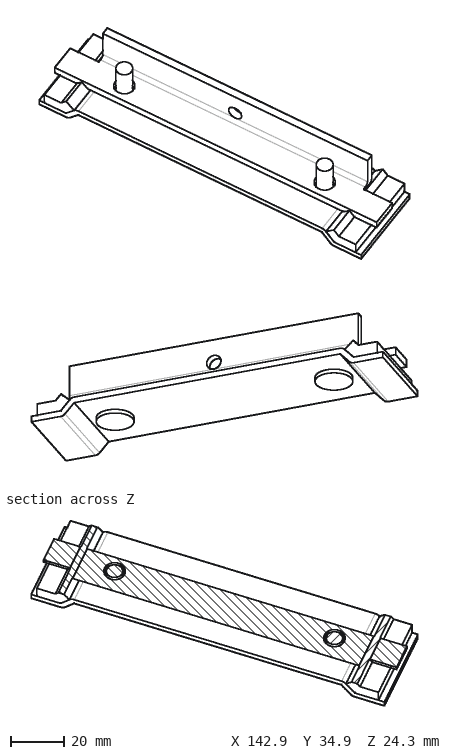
import cadquery as cq
import math

length = 142.875
width = 34.925
half_length = length / 2

base_thickness = 2.38125
base_end_length = 11.90625
bend_angle = math.radians(47)

pad_thickness = 4.7625
pad_inset = 2.38125
pad_tip_rise = 2.38125

plate_thickness = 3.175
plate_front = -6.35
plate_tab_back = 4.7625
angle_leg = 17.13
tab_length = 12.7
flange_inner_radius = 1.5875
flange_hole_diameter = 5.7
flange_hole_height = 4.43

stud_spacing = 88.9
stud_diameter = 6.35
stud_length = 15.875
stud_head_diameter = 14.29
stud_head_thickness = 1.5875
base_hole_diameter = 6.73
plate_hole_diameter = 7.94

base_raise = pad_thickness
plate_bottom = base_thickness + pad_thickness
plate_top = plate_bottom + plate_thickness
flange_back = plate_front + angle_leg
flange_front = flange_back - plate_thickness
flange_outer_radius = flange_inner_radius + plate_thickness
flange_half_length = half_length - tab_length
stud_points = [(side * stud_spacing / 2, 0) for side in (-1, 1)]

lower_bend_x = half_length - base_end_length
slope_run = (base_raise - base_thickness) / math.tan(bend_angle)
slope_shift = base_thickness / math.sin(bend_angle)
upper_bend_x = lower_bend_x - slope_run - slope_shift


def extrude_across(outline):
    """Extrude an XZ outline over the full width, centred on Y = 0."""
    return outline.close().extrude(width / 2, both=True)


def bend_point(x, z, angle):
    """Point on the outside of a bend whose inside corner is (x, z); angle is from +X."""
    return (x + base_thickness * math.cos(angle), z + base_thickness * math.sin(angle))


def mirrored(point):
    return (-point[0], point[1])


def make_base():
    down = -math.pi / 2
    up = math.pi / 2
    lower_arc = [
        bend_point(lower_bend_x, base_thickness, down - turn * bend_angle) for turn in (0, 0.5, 1)
    ]
    upper_arc = [
        bend_point(upper_bend_x, base_raise, up - turn * bend_angle) for turn in (0, 0.5, 1)
    ]
    outline = (
        cq.Workplane("XZ")
        .moveTo(-half_length, 0)
        .lineTo(*mirrored(lower_arc[0]))
        .threePointArc(mirrored(lower_arc[1]), mirrored(lower_arc[2]))
        .lineTo(-upper_bend_x, base_raise)
        .lineTo(upper_bend_x, base_raise)
        .lineTo(*lower_arc[2])
        .threePointArc(lower_arc[1], lower_arc[0])
        .lineTo(half_length, 0)
        .lineTo(half_length, base_thickness)
        .lineTo(lower_bend_x, base_thickness)
        .lineTo(*upper_arc[2])
        .threePointArc(upper_arc[1], upper_arc[0])
        .lineTo(*mirrored(upper_arc[0]))
        .threePointArc(mirrored(upper_arc[1]), mirrored(upper_arc[2]))
        .lineTo(-lower_bend_x, base_thickness)
        .lineTo(-half_length, base_thickness)
    )
    holes = cq.Workplane("XY").pushPoints(stud_points).circle(base_hole_diameter / 2).extrude(plate_top)
    return extrude_across(outline).cut(holes)


def make_pad(side):
    """Bent pad on the -X (side = -1) or +X (side = 1) end of the base."""
    outer_end = half_length - pad_inset
    top_bend_x = lower_bend_x + pad_thickness * math.tan(bend_angle / 2)
    tip_x = top_bend_x - pad_tip_rise / math.tan(bend_angle)
    tip_z = plate_bottom + pad_tip_rise
    heel_x = tip_x - pad_thickness * math.sin(bend_angle)
    heel_z = tip_z - pad_thickness * math.cos(bend_angle)
    points = [
        (outer_end, base_thickness),
        (outer_end, plate_bottom),
        (top_bend_x, plate_bottom),
        (tip_x, tip_z),
        (heel_x, heel_z),
        (lower_bend_x, base_thickness),
    ]
    outline = cq.Workplane("XZ").polyline([(side * x, z) for x, z in points])
    return extrude_across(outline)


def make_angle(pads):
    tab_plate = (
        cq.Workplane("XY", origin=(0, 0, plate_bottom))
        .moveTo(-half_length, plate_front)
        .lineTo(half_length, plate_front)
        .lineTo(half_length, plate_tab_back)
        .lineTo(-half_length, plate_tab_back)
        .close()
        .extrude(plate_thickness)
    )
    inner_diagonal = flange_inner_radius * math.sin(math.pi / 4)
    outer_diagonal = flange_outer_radius * math.sin(math.pi / 4)
    bend_y = flange_front - flange_inner_radius
    bend_z = plate_top + flange_inner_radius
    flanged_plate = (
        cq.Workplane("YZ")
        .moveTo(plate_front, plate_bottom)
        .lineTo(bend_y, plate_bottom)
        .threePointArc((bend_y + outer_diagonal, bend_z - outer_diagonal), (flange_back, bend_z))
        .lineTo(flange_back, plate_bottom + angle_leg)
        .lineTo(flange_front, plate_bottom + angle_leg)
        .lineTo(flange_front, bend_z)
        .threePointArc((bend_y + inner_diagonal, bend_z - inner_diagonal), (bend_y, plate_top))
        .lineTo(plate_front, plate_top)
        .close()
        .extrude(flange_half_length, both=True)
    )
    stud_holes = (
        cq.Workplane("XY", origin=(0, 0, plate_bottom))
        .pushPoints(stud_points)
        .circle(plate_hole_diameter / 2)
        .extrude(plate_thickness)
    )
    flange_hole = (
        cq.Workplane("XZ", origin=(0, flange_back, plate_top + flange_hole_height))
        .circle(flange_hole_diameter / 2)
        .extrude(angle_leg)
    )
    angle = tab_plate.union(flanged_plate).cut(stud_holes).cut(flange_hole)
    for pad in pads:
        angle = angle.cut(pad)
    return angle


def make_stud(x, y):
    head = (
        cq.Workplane("XY", origin=(x, y, base_raise - stud_head_thickness))
        .circle(stud_head_diameter / 2)
        .extrude(stud_head_thickness)
    )
    return head.faces(">Z").workplane().circle(stud_diameter / 2).extrude(stud_length)


base = make_base()
pads = [make_pad(side) for side in (-1, 1)]
angle = make_angle(pads)
studs = [make_stud(x, y) for x, y in stud_points]

result = cq.Compound.makeCompound(
    [base.val(), angle.val(), *[pad.val() for pad in pads], *[stud.val() for stud in studs]]
)